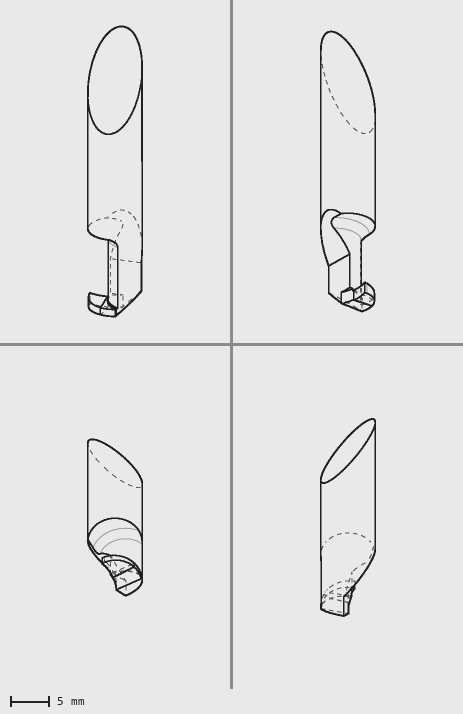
import cadquery as cq
import math

length = 38.3
shank_diameter = 7.0
shank_radius = shank_diameter / 2
slant_angle = 30.0
slant_ratio = 1 / math.tan(math.radians(slant_angle))

shoulder_z = 11.15
neck_left_x = -0.75
neck_axis_x = 2.72
neck_radius = neck_axis_x - neck_left_x
neck_fillet = 1.0
collar_top_z = 1.5

back_flat_y = 0.3
ramp_top_z = 12.22
ramp_bottom_z = ramp_top_z - (shank_radius - back_flat_y) * slant_ratio

chamfer_height = 2.72

foot_radius = 3.4
foot_thickness = 1.55
foot_relief = 0.25
seam_x = -0.92
collar_width = neck_left_x - seam_x
shank_bottom_z = 0.08
land_width = 0.35

groove_top_z = 1.75
tip_y = 0.08
groove_low_x = -1.15
groove_low_y = -0.23
groove_end_x = 0.95

margin = 0.4
reach = shank_radius + margin


def side_prism(points):
    """Extrude a (Y, Z) outline across the full width in X."""
    return cq.Workplane("YZ").polyline(points).close().extrude(reach, both=True)


def make_foot_blank():
    """Whole round foot with tapered upper and lower faces, in front of the back flat."""
    taper = side_prism([
        (back_flat_y, 0),
        (tip_y, 0),
        (-foot_radius, foot_relief),
        (-foot_radius, foot_thickness - foot_relief),
        (back_flat_y, foot_thickness),
    ])
    return cq.Workplane("XY").circle(foot_radius).extrude(foot_thickness).intersect(taper)


def make_chip_groove():
    """Shallow arc-shaped cut into the back of the foot and the neck root."""
    return (
        cq.Workplane("XY")
        .workplane(offset=-margin)
        .moveTo(-foot_radius, tip_y)
        .threePointArc((groove_low_x, groove_low_y), (groove_end_x, back_flat_y))
        .lineTo(groove_end_x, back_flat_y + margin)
        .lineTo(-reach, back_flat_y + margin)
        .lineTo(-reach, tip_y)
        .close()
        .extrude(groove_top_z + margin)
    )


def make_bar():
    """Round bar with its upper end slanted, highest at +Y."""
    low_z = length - shank_diameter * slant_ratio
    side = side_prism([
        (-shank_radius, 0),
        (shank_radius, 0),
        (shank_radius, length),
        (-shank_radius, low_z),
    ])
    return cq.Workplane("XY").circle(shank_radius).extrude(length).intersect(side)


def make_neck_relief():
    """Ring of material removed around the eccentric neck, filleted under the shoulder."""
    outer_radius = neck_axis_x + reach
    diagonal = neck_fillet * math.sqrt(0.5)
    fillet_center_r = neck_radius + neck_fillet
    fillet_center_z = shoulder_z - neck_fillet
    profile = (
        cq.Workplane("XZ")
        .moveTo(neck_radius + collar_width, -margin)
        .lineTo(neck_radius + collar_width, collar_top_z - collar_width)
        .lineTo(neck_radius, collar_top_z)
        .lineTo(neck_radius, fillet_center_z)
        .threePointArc(
            (fillet_center_r - diagonal, fillet_center_z + diagonal),
            (fillet_center_r, shoulder_z),
        )
        .lineTo(outer_radius, shoulder_z)
        .lineTo(outer_radius, -margin)
        .close()
    )
    return profile.revolve(360, (0, 0, 0), (0, 1, 0)).translate((neck_axis_x, 0, 0))


def make_back_relief():
    """Material removed behind the back flat and below the ramp."""
    return side_prism([
        (back_flat_y, -margin),
        (back_flat_y, ramp_bottom_z),
        (shank_radius, ramp_top_z),
        (reach, ramp_top_z + margin * slant_ratio),
        (reach, -margin),
    ])


def make_corner_cut():
    """45 degree cut at the lower +X corner."""
    corner_x = shank_radius - chamfer_height
    return (
        cq.Workplane("XZ")
        .polyline([
            (corner_x - margin, -margin),
            (reach, chamfer_height + margin),
            (reach, -margin),
        ])
        .close()
        .extrude(reach, both=True)
    )


def make_bottom_cut():
    """Tapered clearance face under the shank and its share of the foot."""
    slope = (foot_relief - shank_bottom_z) / (foot_radius + back_flat_y)
    return side_prism([
        (reach, -margin),
        (reach, shank_bottom_z),
        (back_flat_y, shank_bottom_z),
        (-reach, shank_bottom_z + slope * (reach + back_flat_y)),
        (-reach, -margin),
    ])


def make_tip_land_cut():
    """Space outside the narrow flat that runs from the tip along the foot rim."""
    land_end_y = tip_y - land_width
    land_x = -math.sqrt(foot_radius**2 - land_end_y**2)
    return (
        cq.Workplane("XY")
        .box(margin, 2 * reach, foot_thickness + 2 * margin, centered=(False, True, False))
        .translate((land_x - margin, 0, -margin))
    )


def split_foot(foot):
    """Return the insert part on the -X side of the seam and the remaining foot."""
    insert_space = (
        cq.Workplane("XY")
        .box(reach, 2 * reach, groove_top_z + 2 * margin, centered=(False, True, False))
        .translate((seam_x - reach, 0, -margin))
    )
    return foot.intersect(insert_space), foot.cut(insert_space)


chip_groove = make_chip_groove()
foot = make_foot_blank().cut(chip_groove).cut(make_tip_land_cut())
insert, shank_foot = split_foot(foot)

shank = make_bar().cut(make_neck_relief()).cut(make_back_relief())
shank = shank.cut(chip_groove).union(shank_foot)
shank = shank.cut(make_bottom_cut()).cut(make_corner_cut())

result = cq.Compound.makeCompound([shank.val(), insert.val()])